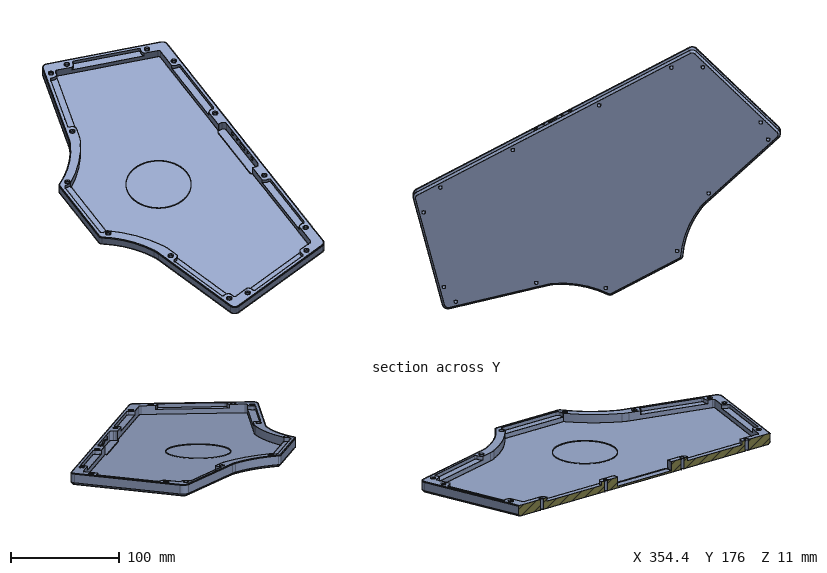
import cadquery as cq
import math

length_x = 100.0
depth_y = 176.0
height = 11.0
half_depth = depth_y / 2

tilt = math.radians(15)
side_foot_x = 171.5
lower_edge_y = 73.7
notch_start_x = 80.5
notch_middle = (57.5, -66.3)
tail_half_width = 38.3
corner_radius = 5.5
notch_shoulder_radius = 32.0
tail_corner_radius = 3.5
top_chamfer = 0.7
bottom_chamfer = 2.0

rim_width = 10.5
floor_thickness = 3.0
disc_depth = 0.7
slot_drop = 0.7
tray_notch_start_x = 79.5
tray_notch_middle = (56.7, -55.3)
tray_tail_half_width = 34.7
tray_shoulder_radius = 32.0
tray_corner_radius = 1.8
disc_diameter = 60.0
disc_y = -4.0

lip_width = 3.5
ledge_depth = 3.5
ledge_corner_radius = 1.5
boss_diameter = 12.0
screw_diameter = 3.2
countersink_diameter = 5.0
screw_pitch = 76.2
screw_inset = 6.0
top_screw_x = 121.5
side_screw_y = -5.3
lower_screw_x = 90.7
tail_screw_x = 37.5
tail_screw_inset = 9.2
tail_ledge_length = 68.8
tail_ledge_corner_radius = 2.5

slot_length = 63.8
slot_width = 8.5
slot_corner_radius = 3.0
port_z = 7.0
round_port_diameter = 3.5
round_port_x = 18.0
small_port_diameter = 1.8
small_port_x = 9.5
wide_port_length = 8.5
wide_port_height = 3.2


def side_x(y, inset=0):
    return side_foot_x - inset / math.cos(tilt) - math.tan(tilt) * y


def lower_y(x, inset=0):
    return -lower_edge_y + inset / math.cos(tilt) + math.tan(tilt) * x


def mirrored(point):
    return (-point[0], point[1])


def outline_corners(inset, shoulder_x, tail_x):
    """Top, side, shoulder and tail corners of the +X half, moved inward by the inset."""
    top_y = half_depth - inset
    side_y = lower_y(side_x(0, inset), inset) * math.cos(tilt) ** 2
    return (
        (side_x(top_y, inset), top_y),
        (side_x(side_y, inset), side_y),
        (shoulder_x, lower_y(shoulder_x, inset)),
        (tail_x, inset - half_depth),
    )


def fillet_upright_edges(solid, corner, radius):
    for x, y in (corner, mirrored(corner)):
        nearest = cq.selectors.NearestToPointSelector((x, y, height / 2))
        solid = solid.edges(nearest).fillet(radius)
    return solid


def outline_solid(corners, notch_middle, radii):
    top, side, shoulder, tail = corners
    solid = (
        cq.Workplane("XY")
        .moveTo(*mirrored(top))
        .lineTo(*top)
        .lineTo(*side)
        .lineTo(*shoulder)
        .threePointArc(notch_middle, tail)
        .lineTo(*mirrored(tail))
        .threePointArc(mirrored(notch_middle), mirrored(shoulder))
        .lineTo(*mirrored(side))
        .close()
        .extrude(height)
    )
    for corner, radius in zip(corners, radii):
        solid = fillet_upright_edges(solid, corner, radius)
    return solid


def body():
    corners = outline_corners(0, notch_start_x, tail_half_width)
    radii = (corner_radius, corner_radius, notch_shoulder_radius, tail_corner_radius)
    plate = outline_solid(corners, notch_middle, radii)
    plate = plate.faces(">Z").chamfer(top_chamfer)
    return plate.faces("<Z").chamfer(bottom_chamfer)


def tray():
    corners = outline_corners(rim_width, tray_notch_start_x, tray_tail_half_width)
    radii = (tray_corner_radius, tray_corner_radius, tray_shoulder_radius)
    pocket = outline_solid(corners, tray_notch_middle, radii)
    return pocket.translate((0, 0, floor_thickness))


def disc_recess():
    return (
        cq.Workplane("XY", origin=(0, disc_y, floor_thickness - disc_depth))
        .circle(disc_diameter / 2)
        .extrude(height)
    )


def ledge():
    """Ledge along +X with its first screw at the origin and the tray on the +Y side."""
    outer_y = lip_width - screw_inset
    inner_y = rim_width - screw_inset
    strip = (
        cq.Workplane("XY", origin=(0, 0, height - ledge_depth))
        .moveTo(0, outer_y)
        .lineTo(screw_pitch, outer_y)
        .lineTo(screw_pitch, inner_y)
        .lineTo(0, inner_y)
        .close()
        .extrude(height)
    )
    bosses = (
        cq.Workplane("XY")
        .pushPoints([(0, 0), (screw_pitch, 0)])
        .circle(boss_diameter / 2)
        .extrude(2 * height)
    )
    strip = strip.cut(bosses)
    return strip.edges("|Z and <Y").fillet(ledge_corner_radius)


def screw_holes(points):
    shafts = cq.Workplane("XY").pushPoints(points).circle(screw_diameter / 2).extrude(height)
    countersinks = (
        cq.Workplane("XY", origin=(0, 0, height))
        .pushPoints(points)
        .circle(countersink_diameter / 2)
        .extrude((screw_diameter - countersink_diameter) / 2, taper=45)
    )
    return shafts.union(countersinks)


def screwed_ledge(first_screw, angle):
    cutter = ledge().union(screw_holes([(0, 0), (screw_pitch, 0)]))
    cutter = cutter.rotate((0, 0, 0), (0, 0, 1), angle)
    return cutter.translate((*first_screw, 0))


def tail_ledge():
    outer_y = lip_width - half_depth
    inner_y = rim_width - half_depth
    return (
        cq.Workplane("XY", origin=(0, (outer_y + inner_y) / 2, height - ledge_depth))
        .rect(tail_ledge_length, inner_y - outer_y)
        .extrude(height)
        .edges("|Z and <Y")
        .fillet(tail_ledge_corner_radius)
    )


def connector_slot():
    return (
        cq.Workplane("XY", origin=(0, half_depth - lip_width - slot_width / 2, floor_thickness - slot_drop))
        .rect(slot_length, slot_width)
        .extrude(height)
        .edges("|Z")
        .fillet(slot_corner_radius)
    )


def ports():
    """Openings through the wall between the connector slot and the back of the part."""
    wall = cq.Workplane("XZ", origin=(0, half_depth, port_z))
    depth = lip_width + slot_width / 2
    openings = wall.rect(wide_port_length, wide_port_height).extrude(depth)
    for x, diameter in ((round_port_x, round_port_diameter), (small_port_x, small_port_diameter)):
        openings = openings.union(wall.pushPoints([(x, 0), (-x, 0)]).circle(diameter / 2).extrude(depth))
    return openings


lower_screw = (lower_screw_x, lower_y(lower_screw_x, screw_inset))
side_screw = (side_x(side_screw_y, screw_inset), side_screw_y)
top_screw = (top_screw_x, half_depth - screw_inset)
tail_screw = (tail_screw_x, tail_screw_inset - half_depth)
tilt_degrees = math.degrees(tilt)

result = body().cut(tray()).cut(disc_recess()).cut(connector_slot()).cut(ports())
for screw, angle in ((lower_screw, tilt_degrees), (side_screw, 90 + tilt_degrees), (top_screw, 180)):
    cutter = screwed_ledge(screw, angle)
    result = result.cut(cutter).cut(cutter.mirror("YZ"))
result = result.cut(tail_ledge()).cut(screw_holes([tail_screw, mirrored(tail_screw)]))